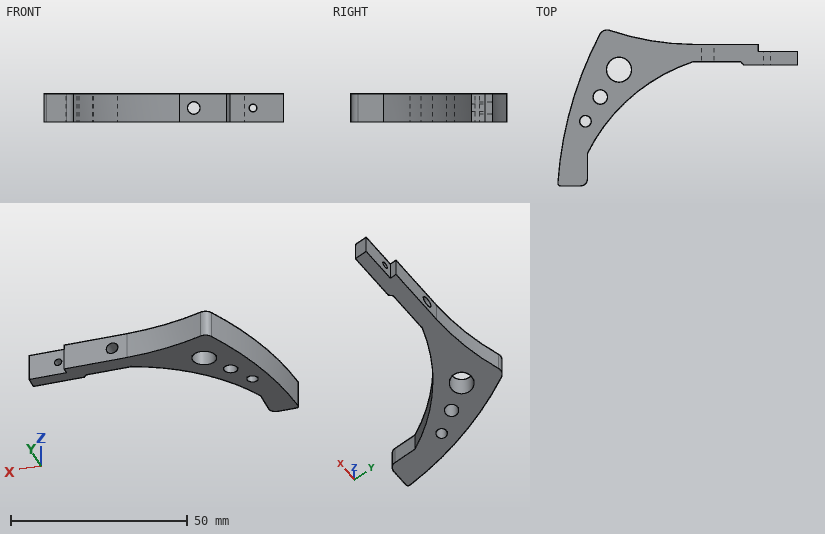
import cadquery as cq

length = 68.0
thickness = 8.1

foot_width = 8.4
foot_inner_height = 9.25
foot_inner_radius = 2.05
foot_outer_radius = 0.8
foot_corner_x = -0.1

knee_x, knee_y = 12.85, 44.8
knee_radius = 2.4

arm_top = 40.2
arm_bottom = 35.2
arm_inner_x = 38.4
arm_curve_end_x = 38.1
tip_drop = 2.05
tip_step_x = 56.85
tip_chamfer = 0.95
tip_chamfer_x = 51.8
tip_top = arm_top - tip_drop
tip_bottom = arm_bottom - tip_chamfer

inner_curve_middle = (17.95, 22.6)
outer_curve_middle = (3.9, 23.05)
upper_curve_middle = (23.5, 41.75)

web_holes = [(17.35, 33.0, 7.0), (12.05, 25.2, 4.0), (7.8, 18.35, 3.2)]

arm_holes = [(42.5, 3.5), (59.3, 2.1)]


def bracket_body():
    """Extruded outline with its three rounded corners."""
    body = (
        cq.Workplane("XY")
        .moveTo(foot_corner_x, 0)
        .lineTo(foot_width, 0)
        .lineTo(foot_width, foot_inner_height)
        .threePointArc(inner_curve_middle, (arm_inner_x, arm_bottom))
        .lineTo(tip_chamfer_x, arm_bottom)
        .lineTo(tip_chamfer_x + tip_chamfer, tip_bottom)
        .lineTo(length, tip_bottom)
        .lineTo(length, tip_top)
        .lineTo(tip_step_x, tip_top)
        .lineTo(tip_step_x, arm_top)
        .lineTo(arm_curve_end_x, arm_top)
        .threePointArc(upper_curve_middle, (knee_x, knee_y))
        .threePointArc(outer_curve_middle, (foot_corner_x, 0))
        .close()
        .extrude(thickness)
    )
    rounded_corners = [
        (foot_corner_x, 0, foot_outer_radius),
        (foot_width, 0, foot_inner_radius),
        (knee_x, knee_y, knee_radius),
    ]
    for x, y, radius in rounded_corners:
        corner_edge = cq.selectors.NearestToPointSelector((x, y, thickness / 2))
        body = body.edges("|Z").edges(corner_edge).fillet(radius)
    return body


def web_hole(x, y, diameter):
    """Cutter for a vertical through hole."""
    return cq.Workplane("XY").center(x, y).circle(diameter / 2).extrude(thickness)


def arm_hole(x, diameter):
    """Cutter for a hole across the arm at mid thickness."""
    return (
        cq.Workplane("XZ", origin=(x, arm_top, thickness / 2))
        .circle(diameter / 2)
        .extrude(arm_top - tip_bottom)
    )


result = bracket_body()
for x, y, diameter in web_holes:
    result = result.cut(web_hole(x, y, diameter))
for x, diameter in arm_holes:
    result = result.cut(arm_hole(x, diameter))